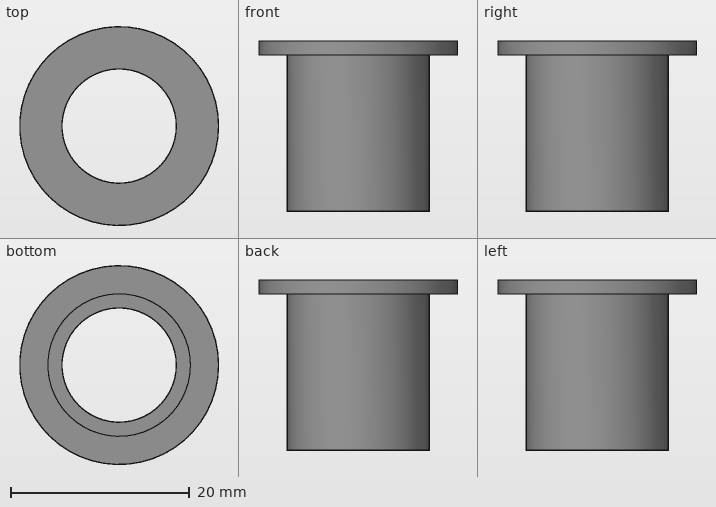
import cadquery as cq

flange_diameter = 22.23
flange_thickness = 1.6
body_diameter = 15.92
bore_diameter = 12.74
total_height = 19.05

body = cq.Workplane("XY").circle(body_diameter / 2).extrude(total_height)

flange = (
    cq.Workplane("XY")
    .workplane(offset=total_height - flange_thickness)
    .circle(flange_diameter / 2)
    .extrude(flange_thickness)
)

bore = cq.Workplane("XY").circle(bore_diameter / 2).extrude(total_height)

result = body.union(flange).cut(bore)